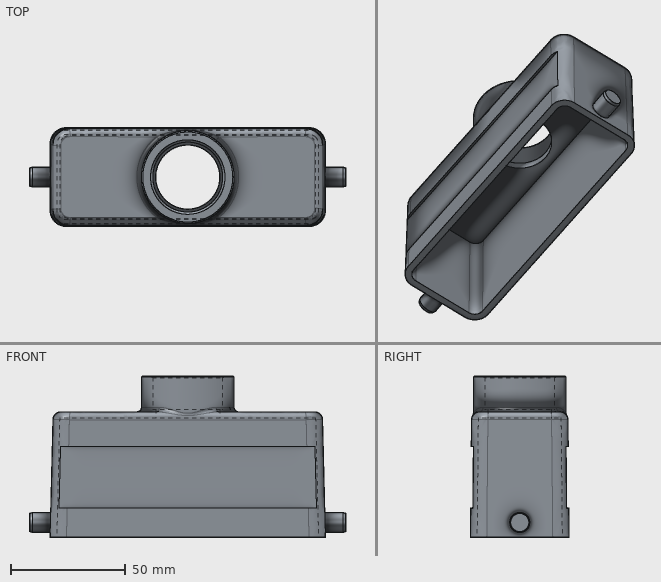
import cadquery as cq

overall_length = 138.27
overall_height = 70.65

base_length = 120.5
base_width = 43.28
body_height = 54.9
length_draft = 2.7
width_draft = 1.1
corner_radius = 7.2
top_edge_radius = 3.5

wall = 3.0
roof_thickness = 2.7

panel_bottom = 12.8
panel_top = 39.7
panel_depth = 0.95

collar_diameter = 40.6
collar_root_radius = 2.0
collar_rim_chamfer = 0.6
entry_bore_diameter = 30.6
entry_bore_bottom = 56.0
entry_bore_chamfer = 1.0
through_bore_diameter = 28.0

peg_diameter = 8.8
peg_tip_diameter = 8.0
peg_tip_length = 1.2
peg_height = 6.5


def rounded_rectangle(length, width, radius, height):
    outline = cq.Sketch().rect(length, width).vertices().fillet(radius)
    return outline.moved(cq.Location(cq.Vector(0, 0, height)))


def drafted_block(inset, height):
    """Rounded block, narrowing upwards, held inside the hood's outer walls by the inset."""
    share = height / body_height
    length = base_length - 2 * inset
    width = base_width - 2 * inset
    radius = corner_radius - inset
    lower = rounded_rectangle(length, width, radius, 0)
    upper = rounded_rectangle(length - length_draft * share, width - width_draft * share, radius, height)
    return cq.Workplane("XY").placeSketch(lower, upper).loft(ruled=True)


def add_collar(body):
    """Add the cable entry collar, blended into the roof and its rounded edges."""
    start = body_height / 2
    collar = cq.Workplane("XY", origin=(0, 0, start)).circle(collar_diameter / 2)
    joined = body.union(collar.extrude(overall_height - start))
    rim = joined.faces(">Z").edges()
    collar_wall = rim.ancestors("Face").faces("%CYLINDER")
    root = collar_wall.edges("not(>Z)").edges("not(|Z)")
    joined = joined.newObject(root.vals()).fillet(collar_root_radius)
    return joined.faces(">Z").edges().chamfer(collar_rim_chamfer)


def entry_bore():
    """Stepped bore with a chamfered mouth, reaching down into the cavity."""
    mouth_radius = entry_bore_diameter / 2 + entry_bore_chamfer
    through_radius = through_bore_diameter / 2
    below_roof = body_height - 2 * roof_thickness
    return (
        cq.Workplane("XZ")
        .moveTo(0, below_roof)
        .lineTo(through_radius, below_roof)
        .lineTo(through_radius, entry_bore_bottom)
        .lineTo(entry_bore_diameter / 2, entry_bore_bottom)
        .lineTo(entry_bore_diameter / 2, overall_height - entry_bore_chamfer)
        .lineTo(mouth_radius, overall_height)
        .lineTo(0, overall_height)
        .close()
        .revolve(360, (0, 0, 0), (0, 1, 0))
    )


def side_panel(side):
    """Slab that cuts the recessed panel, parallel to the drafted long wall (side is -1 or 1)."""
    slope = width_draft / 2 / body_height
    floor_at_base = base_width / 2 - panel_depth
    profile = [
        (side * (floor_at_base - slope * panel_bottom), panel_bottom),
        (side * base_width, panel_bottom),
        (side * base_width, panel_top),
        (side * (floor_at_base - slope * panel_top), panel_top),
    ]
    return cq.Workplane("YZ").polyline(profile).close().extrude(base_length / 2, both=True)


def peg(side):
    """Locking peg with a tapered tip, rooted in the middle of an end wall (side is -1 or 1)."""
    tip = overall_length / 2
    root = (base_length - wall) / 2
    shoulder = tip - peg_tip_length
    half_profile = [
        (side * root, 0),
        (side * root, peg_diameter / 2),
        (side * shoulder, peg_diameter / 2),
        (side * tip, peg_tip_diameter / 2),
        (side * tip, 0),
    ]
    solid = cq.Workplane("XZ").polyline(half_profile).close().revolve(360, (0, 0, 0), (1, 0, 0))
    return solid.translate((0, 0, peg_height))


hood = drafted_block(0, body_height).faces(">Z").edges().fillet(top_edge_radius)
hood = add_collar(hood)
hood = hood.cut(drafted_block(wall, body_height - roof_thickness))
hood = hood.cut(entry_bore())
for end in (-1, 1):
    hood = hood.cut(side_panel(end))
    hood = hood.union(peg(end))

result = hood